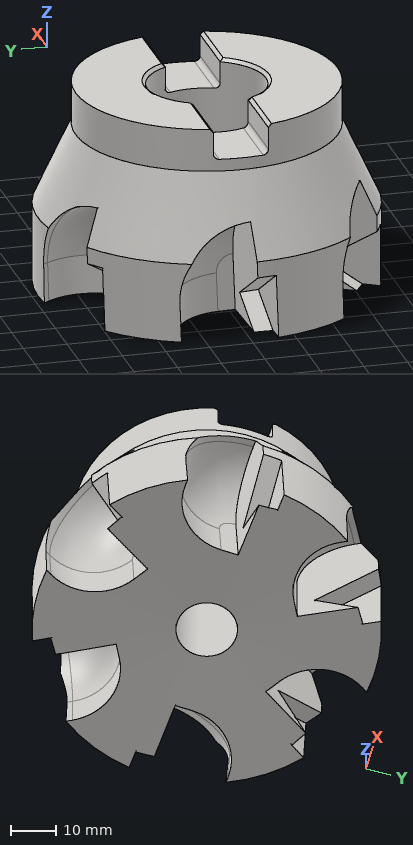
import cadquery as cq
import math

height = 47.35
body_radius = 38.7
hub_radius = 30.0
skirt_height = 18.65
hub_height = 9.9
dish_rise = 0.9

bore_radius = 13.55
bore_depth = 22.0
bore_chamfer = 0.8
bolt_hole_radius = 6.8

slot_width = 12.5
slot_depth = 7.1
slot_floor_fillet = 1.2
slot_rim_chamfer = 0.8

tooth_count = 6
axial_rake = 2.3
radial_rake = 2.7
face_offset = -0.2
pocket_center_height = 9.8
pocket_back = 20.35
pocket_radius = 17.0
pocket_fillet = 13.0

seat_apex = 24.3
seat_apex_height = 6.0
seat_half_angle = 31.4
seat_depth = 4.3

overrun = 9.3


def make_body():
    """Skirt, cone and hub, with a shallow conical dish in the underside."""
    return (
        cq.Workplane("XZ")
        .moveTo(0, dish_rise)
        .lineTo(body_radius, 0)
        .lineTo(body_radius, skirt_height)
        .lineTo(hub_radius, height - hub_height)
        .lineTo(hub_radius, height)
        .lineTo(0, height)
        .close()
        .revolve(360, (0, 0, 0), (0, 1, 0))
    )


def make_bore():
    """Bolt hole right through, stepped out to the chamfered arbor bore."""
    mouth_radius = bore_radius + bore_chamfer
    return (
        cq.Workplane("XZ")
        .lineTo(bolt_hole_radius, 0)
        .lineTo(bolt_hole_radius, height - bore_depth)
        .lineTo(bore_radius, height - bore_depth)
        .lineTo(bore_radius, height - bore_chamfer)
        .lineTo(mouth_radius, height)
        .lineTo(0, height)
        .close()
        .revolve(360, (0, 0, 0), (0, 1, 0))
    )


def make_drive_slot():
    """Slot along X with rounded floor corners and chamfered rims."""
    length = 2 * body_radius
    half_width = slot_width / 2
    channel = (
        cq.Workplane("XY")
        .box(length, slot_width, slot_depth, centered=(True, True, False))
        .edges("|X and <Z")
        .fillet(slot_floor_fillet)
        .translate((0, 0, height - slot_depth))
    )
    rim = (
        cq.Workplane("YZ", origin=(-length / 2, 0, 0))
        .moveTo(-half_width, height - slot_rim_chamfer)
        .lineTo(half_width, height - slot_rim_chamfer)
        .lineTo(half_width + slot_rim_chamfer, height)
        .lineTo(-half_width - slot_rim_chamfer, height)
        .close()
        .extrude(length)
    )
    return channel.union(rim)


def make_chip_pocket():
    """Gullet with a flat tooth face on Y = 0; its arc is centred on the X axis."""
    bottom = -pocket_center_height - overrun
    margin = 0.8
    diagonal = pocket_radius * math.sqrt(0.5)
    back_round = cq.selectors.BoxSelector(
        (pocket_back - margin, -pocket_radius - margin, bottom + margin),
        (pocket_back + margin, -margin, pocket_radius + margin),
    )
    return (
        cq.Workplane("YZ", origin=(pocket_back, 0, 0))
        .moveTo(0, bottom)
        .lineTo(0, pocket_radius)
        .threePointArc((-diagonal, diagonal), (-pocket_radius, 0))
        .lineTo(-pocket_radius, bottom)
        .close()
        .extrude(body_radius + overrun - pocket_back)
        .edges(back_round)
        .fillet(pocket_fillet)
    )


def make_insert_seat():
    """V recess sunk from the tooth face, apex toward the axis, opening outward."""
    reach = body_radius + overrun - seat_apex
    spread = reach * math.tan(math.radians(seat_half_angle))
    apex_height = seat_apex_height - pocket_center_height
    return (
        cq.Workplane("XZ")
        .moveTo(seat_apex, apex_height)
        .lineTo(seat_apex + reach, apex_height + spread)
        .lineTo(seat_apex + reach, apex_height - spread)
        .close()
        .extrude(-seat_depth)
    )


def make_tooth_gap():
    """Chip pocket and insert seat, tilted to the rake angles of the tooth at +X."""
    return (
        make_chip_pocket()
        .union(make_insert_seat())
        .rotate((0, 0, 0), (1, 0, 0), axial_rake)
        .rotate((0, 0, 0), (0, 0, 1), radial_rake)
        .translate((0, face_offset, pocket_center_height))
    )


result = make_body().cut(make_bore()).cut(make_drive_slot())
tooth_gap = make_tooth_gap()
for tooth in range(tooth_count):
    angle = tooth * 360 / tooth_count
    result = result.cut(tooth_gap.rotate((0, 0, 0), (0, 0, 1), angle))